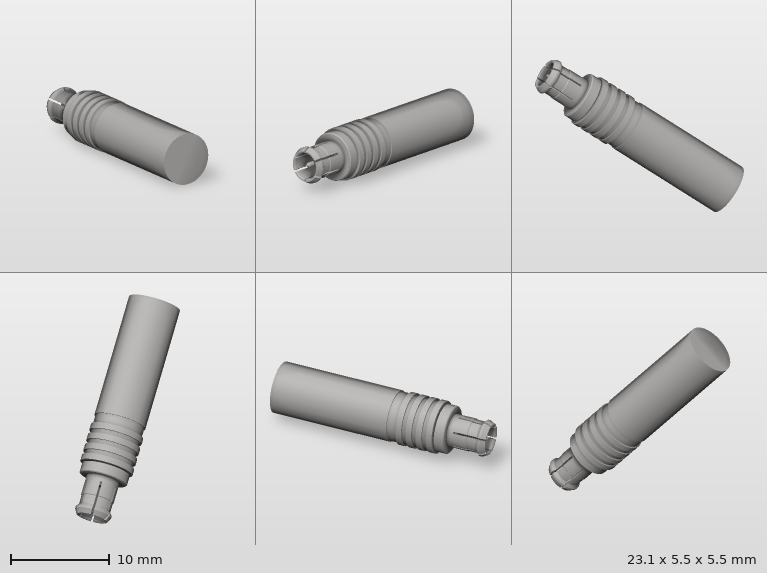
import cadquery as cq

length = 23.1

tip_radius = 1.62
bulge_radius = 1.9
bulge_start = 0.5
bulge_end = 0.72
neck_radius = 1.65
neck_start = 1.02
neck_end = 1.99
sleeve_radius = 1.7
sleeve_chamfer = sleeve_radius - neck_radius

bore_radius = 1.36
bore_mouth_chamfer = 0.12
floor_x = 3.2
floor_face_radius = 1.27
floor_chamfer_length = 0.15

slot_count = 6
slot_width = 0.2
slot_length = 3.5
slot_height = bulge_radius + 0.23

pin_radius = 0.25
pin_tip_radius = 0.1
pin_tip_x = 0.3
pin_cone_end = 0.55

flange_start = 4.18
flange_end = 5.25
flange_radius = 2.5
flange_chamfer = 0.1
groove_radius = 2.1
body_start = 5.38
body_radius = 2.56
ring_radius = 2.75
ring_width = 0.62
ring_pitch = 1.1
ring_count = 4
barrel_start = 10.37
barrel_radius = 2.68


def revolve_profile(outline):
    """Turn a chain of (x, radius) points, closed along the axis, about the X axis."""
    points = [(outline[0][0], 0), *outline, (outline[-1][0], 0)]
    return cq.Workplane("XY").polyline(points).close().revolve(360, (0, 0, 0), (1, 0, 0))


def disc(start, end, radius):
    """Cylinder along X between two stations."""
    return revolve_profile([(start, radius), (end, radius)])


def make_outer_body():
    return revolve_profile([
        (0, tip_radius),
        (bulge_start, bulge_radius),
        (bulge_end, bulge_radius),
        (neck_start, neck_radius),
        (neck_end, neck_radius),
        (neck_end + sleeve_chamfer, sleeve_radius),
        (flange_start, sleeve_radius),
        (flange_start, flange_radius - flange_chamfer),
        (flange_start + flange_chamfer, flange_radius),
        (flange_end, flange_radius),
        (flange_end, groove_radius),
        (body_start, groove_radius),
        (body_start, body_radius),
        (barrel_start, body_radius),
        (barrel_start, barrel_radius),
        (length, barrel_radius),
    ])


def add_grip_rings(body):
    for index in range(ring_count):
        ring_start = body_start + index * ring_pitch
        body = body.union(disc(ring_start, ring_start + ring_width, ring_radius))
    return body


def make_insert():
    """Chamfered insulator face at the socket floor, reaching back past the slot ends."""
    return revolve_profile([
        (floor_x, floor_face_radius),
        (floor_x + floor_chamfer_length, bore_radius),
        (flange_start, bore_radius),
    ])


def make_socket():
    return revolve_profile([
        (0, bore_radius + bore_mouth_chamfer),
        (bore_mouth_chamfer, bore_radius),
        (flange_start, bore_radius),
    ])


def cut_slots(body):
    """Radial slots, the first one pointing straight up."""
    slot = cq.Workplane("XY").box(slot_length, slot_width, slot_height, centered=(False, True, False))
    for index in range(slot_count):
        body = body.cut(slot.rotate((0, 0, 0), (1, 0, 0), index * 360 / slot_count))
    return body


def make_pin():
    return revolve_profile([
        (pin_tip_x, pin_tip_radius),
        (pin_cone_end, pin_radius),
        (flange_start, pin_radius),
    ])


shell = cut_slots(add_grip_rings(make_outer_body()).cut(make_socket()))
result = shell.union(make_insert()).union(make_pin())